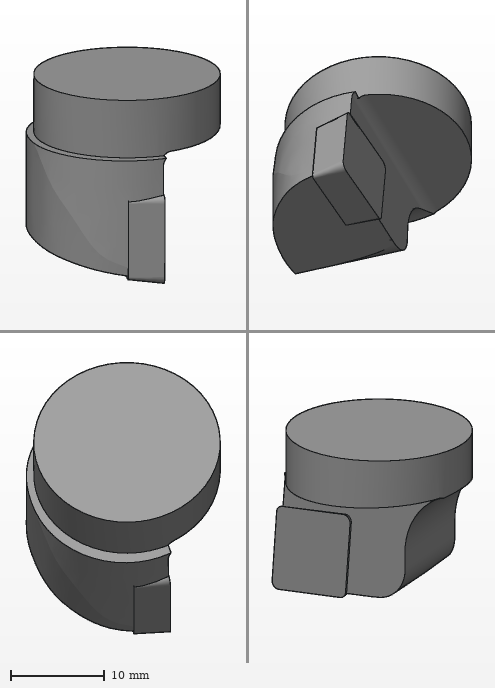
import cadquery as cq
import math

TOTAL_X = 22.87
TOTAL_Y = 20.9
TOTAL_Z = 20.0

SHANK_RADIUS = 20.0 / 2
SHANK_LENGTH = 6.43

HEAD_FRONT_Y = SHANK_RADIUS - TOTAL_Y
HEAD_FRONT_X = 0.91
HEAD_LEFT_POINTS = [(-9.83, -2.75), (-7.3, -7.65), (-4.12, -9.97)]
HEAD_RIGHT_POINTS = [(5.42, -10.13), (7.73, -8.87), (10.06, -6.72), (11.48, -4.12), (12.25, 0)]
HEAD_BACK_Y = 6.85
CONE_TOP_RADIUS = 10.43
CONE_CENTER_X = 0.65
CONE_ANGLE = 5.0
HEAD_DEPTH = 22.87

FLANK_X = -4.12
NECK_RADIUS = 8.0
NECK_END_Z = -12.75
HEEL_RADIUS = 3.93
HEEL_START_Z = -14.55

BOTTOM_POINT = (-0.73, 1.53, -18.45)
BOTTOM_ANGLE = 5.4
BOTTOM_RELIEF_ANGLE = 6.5

RAKE_SLOPE_X = 0.12
RAKE_SLOPE_Z = 0.02
CHIP_ROOF_START_Z = -5.03
CHIP_ROOF_ANGLE = 2.9
CHIP_FILLET = 1.15

INSERT_SLOPE_X = 0.15
INSERT_EDGE = 9.67
INSERT_THICKNESS = 3.89
EDGE_ANGLE = 5.0
INSERT_NOSE_RADIUS = 0.8
INSERT_RELIEF_ANGLE = 7.5
INSERT_CORNER_Y = -0.11

HALF_NOSE_ANGLE = math.radians(45 - EDGE_ANGLE)
NOSE_SETBACK = INSERT_NOSE_RADIUS * (math.sqrt(0.5) / math.sin(HALF_NOSE_ANGLE) - 1)
INSERT_CORNER = (TOTAL_X - SHANK_RADIUS + NOSE_SETBACK, INSERT_CORNER_Y, -TOTAL_Z - NOSE_SETBACK)

CUT = 45.75


def make_rake_plane(slope_x, direction):
    """Plane through the insert corner; its normal points to +Y or -Y, as direction is 1 or -1."""
    normal = cq.Vector(slope_x, 1, -RAKE_SLOPE_Z) * direction
    return cq.Plane(INSERT_CORNER, (1, -slope_x, 0), normal)


def make_insert():
    """Rounded rhombus that tapers away from its rake face."""
    edge_x = INSERT_EDGE * math.cos(math.radians(EDGE_ANGLE))
    edge_y = INSERT_EDGE * math.sin(math.radians(EDGE_ANGLE))
    corners = [(0, 0), (-edge_y, edge_x), (-edge_x - edge_y, edge_x + edge_y), (-edge_x, edge_y), (0, 0)]
    outline = cq.Sketch().polygon(corners).vertices().fillet(INSERT_NOSE_RADIUS)
    rake_plane = make_rake_plane(INSERT_SLOPE_X, -1)
    return cq.Workplane(rake_plane).placeSketch(outline).extrude(INSERT_THICKNESS, taper=INSERT_RELIEF_ANGLE)


def make_head_blank():
    """Upright outline, trimmed by the widening cone to the right of its front-most point."""
    top = cq.Workplane("XY", origin=(0, 0, -SHANK_LENGTH))
    outline = HEAD_LEFT_POINTS + [(HEAD_FRONT_X, HEAD_FRONT_Y)] + HEAD_RIGHT_POINTS
    upright = (
        top.moveTo(*outline[0])
        .spline(outline[1:], includeCurrent=True)
        .lineTo(outline[-1][0], HEAD_BACK_Y)
        .lineTo(outline[0][0], HEAD_BACK_Y)
        .close()
        .extrude(-HEAD_DEPTH)
    )
    cone_bottom_radius = CONE_TOP_RADIUS + HEAD_DEPTH * math.tan(math.radians(CONE_ANGLE))
    cone = cq.Solid.makeCone(
        CONE_TOP_RADIUS,
        cone_bottom_radius,
        HEAD_DEPTH,
        pnt=cq.Vector(CONE_CENTER_X, HEAD_FRONT_Y + CONE_TOP_RADIUS, -SHANK_LENGTH),
        dir=cq.Vector(0, 0, -1),
    )
    flare_side = cq.Workplane("XY").box(CUT, 2 * CUT, 2 * CUT).translate((HEAD_FRONT_X + CUT / 2, 0, 0))
    return upright.cut(flare_side.cut(cq.Workplane(cone)))


def make_side_cutter():
    """Volume beside the neck arc, the flat and the heel arc, along Y."""
    neck_x = FLANK_X - NECK_RADIUS
    neck_mid = NECK_RADIUS * math.sqrt(0.5)
    heel_mid = HEEL_RADIUS * (1 - math.sqrt(0.5))
    heel_mid_drop = HEEL_RADIUS * math.sqrt(0.5)
    return (
        cq.Workplane("XZ", origin=(0, CUT / 2, 0))
        .moveTo(neck_x, NECK_END_Z + NECK_RADIUS)
        .threePointArc((neck_x + neck_mid, NECK_END_Z + neck_mid), (FLANK_X, NECK_END_Z))
        .lineTo(FLANK_X, HEEL_START_Z)
        .threePointArc(
            (FLANK_X + heel_mid, HEEL_START_Z - heel_mid_drop),
            (FLANK_X + HEEL_RADIUS, HEEL_START_Z - HEEL_RADIUS),
        )
        .lineTo(FLANK_X + HEEL_RADIUS, -CUT)
        .lineTo(neck_x, -CUT)
        .close()
        .extrude(CUT)
    )


def make_bottom_cutter():
    """Half space below the sloping bottom face."""
    slope_x = math.tan(math.radians(BOTTOM_ANGLE))
    slope_y = math.tan(math.radians(BOTTOM_RELIEF_ANGLE))
    below = cq.Vector(-slope_x, -slope_y, -1)
    return cq.Workplane(cq.Plane(BOTTOM_POINT, (1, 0, -slope_x), below)).rect(CUT, CUT).extrude(CUT)


def make_chip_cutter():
    """Volume on the +Y side of the rake face and below the chip roof, with a rounded inner edge."""
    roof_fall = math.tan(math.radians(CHIP_ROOF_ANGLE))
    rake_side = cq.Workplane(make_rake_plane(RAKE_SLOPE_X, 1)).rect(2 * CUT, 2 * CUT).extrude(CUT)
    roof_plane = cq.Plane((-SHANK_RADIUS, 0, CHIP_ROOF_START_Z), (1, 0, -roof_fall), (-roof_fall, 0, -1))
    below_roof = cq.Workplane(roof_plane).rect(2 * CUT, 2 * CUT).extrude(CUT)
    inner_edge = cq.selectors.NearestToPointSelector((0, 0, CHIP_ROOF_START_Z))
    return rake_side.intersect(below_roof).edges(inner_edge).fillet(CHIP_FILLET)


def make_holder(insert):
    """Shank and head in one piece, with a pocket that fits the insert."""
    shank = cq.Workplane("XY").circle(SHANK_RADIUS).extrude(-SHANK_LENGTH)
    holder = shank.union(make_head_blank())
    for cutter in (make_side_cutter(), make_bottom_cutter(), make_chip_cutter()):
        holder = holder.cut(cutter)
    return holder.cut(insert)


insert = make_insert()
holder = make_holder(insert)

result = cq.Compound.makeCompound([holder.val(), insert.val()])